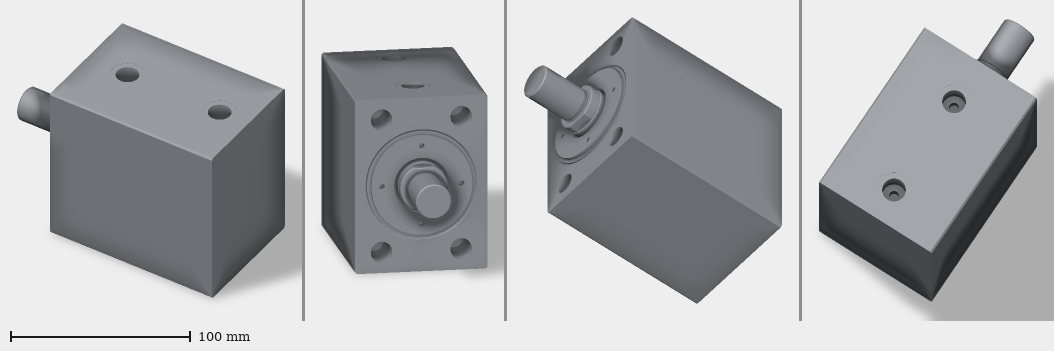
import cadquery as cq
import math

TOTAL_LENGTH = 147.0
ROD_REACH = 40.0
BLOCK_LENGTH = TOTAL_LENGTH - ROD_REACH
BLOCK_WIDTH = 75.0
BLOCK_HEIGHT = 100.0
BLOCK_CHAMFER = 1.0

MOUNT_DIAMETER = 12.0
MOUNT_DEPTH = 26.5
MOUNT_PITCH_Y = 45.0
MOUNT_PITCH_Z = 76.0

PORT_POSITIONS_X = (27.0, 88.0)
SPOTFACE_DIAMETER = 20.0
SPOTFACE_DEPTH = 0.1
PORT_DIAMETER = 13.2
PORT_DEPTH = 12.0
PASSAGE_DIAMETER = 5.6
PASSAGE_DEPTH = 17.6

GLAND_DIAMETER = 61.5
GLAND_DEPTH = 20.0
SEAT_CHAMFER = 0.9
BOSS_DIAMETER = 57.0
BOSS_HEIGHT = 1.9
ROD_MOUTH_DIAMETER = 31.5
CLEARANCE_DIAMETER = 28.8
CLEARANCE_DEPTH = 4.4
SPANNER_HOLE_DIAMETER = 3.1
SPANNER_HOLE_DEPTH = 5.0
SPANNER_HOLE_COUNT = 4
SPANNER_CIRCLE_RADIUS = 22.5

ROD_DIAMETER = 28.0
SHANK_REACH = 4.0
SHANK_CHAMFER = 0.5
COLLAR_DIAMETER = 27.0
COLLAR_REACH = 10.0
COLLAR_CHAMFER = 0.5
FLAT_WIDTH = 24.0
SHOULDER_DIAMETER = 20.3
SHOULDER_REACH = 10.5
STUD_DIAMETER = 20.0
STUD_START = 12.2
STUD_CHAMFER = 0.7
NECK_DIAMETER = STUD_DIAMETER - 2 * STUD_CHAMFER
NECK_TAPER_LENGTH = 0.5

DRILL_POINT_ANGLE = 118.0


def cylinder_x(diameter, start, end):
    """Cylinder on the X axis from X = start to X = end."""
    return cq.Workplane("YZ", origin=(start, 0, 0)).circle(diameter / 2).extrude(end - start)


def drilled_hole(diameter, start, depth):
    """Blind hole along +X from X = start, ending in a conical drill point."""
    radius = diameter / 2
    floor = start + depth
    tip = floor + radius / math.tan(math.radians(DRILL_POINT_ANGLE / 2))
    profile = [(start, 0), (start, radius), (floor, radius), (tip, 0)]
    return cq.Workplane("XY").polyline(profile).close().revolve(360, (0, 0, 0), (1, 0, 0))


def port(x):
    """Spotface, port bore and passage below the top face, centred at X = x."""
    top = cq.Workplane("XY", origin=(x, 0, BLOCK_HEIGHT / 2))
    steps = [
        (SPOTFACE_DIAMETER, SPOTFACE_DEPTH),
        (PORT_DIAMETER, PORT_DEPTH),
        (PASSAGE_DIAMETER, PASSAGE_DEPTH),
    ]
    cutter = cq.Workplane("XY")
    for diameter, depth in steps:
        cutter = cutter.union(top.circle(diameter / 2).extrude(-depth))
    return cutter


def make_housing():
    block = cq.Workplane("XY").box(BLOCK_LENGTH, BLOCK_WIDTH, BLOCK_HEIGHT, centered=(False, True, True))
    block = block.edges("|X").chamfer(BLOCK_CHAMFER)

    seat = cylinder_x(GLAND_DIAMETER, 0, GLAND_DEPTH)
    block = block.cut(seat)
    block = block.faces("<X").edges("%CIRCLE").chamfer(SEAT_CHAMFER)

    mount_hole = drilled_hole(MOUNT_DIAMETER, 0, MOUNT_DEPTH)
    for side_y in (-1, 1):
        for side_z in (-1, 1):
            corner = (0, side_y * MOUNT_PITCH_Y / 2, side_z * MOUNT_PITCH_Z / 2)
            block = block.cut(mount_hole.translate(corner))

    for x in PORT_POSITIONS_X:
        block = block.cut(port(x))
    return block


def make_gland():
    gland = cylinder_x(GLAND_DIAMETER, 0, GLAND_DEPTH).union(cylinder_x(BOSS_DIAMETER, -BOSS_HEIGHT, 0))
    gland = gland.cut(cylinder_x(ROD_DIAMETER, -BOSS_HEIGHT, GLAND_DEPTH))
    gland = gland.cut(cylinder_x(CLEARANCE_DIAMETER, -BOSS_HEIGHT, CLEARANCE_DEPTH - BOSS_HEIGHT))
    mouth_depth = (ROD_MOUTH_DIAMETER - CLEARANCE_DIAMETER) / 2
    gland = gland.faces("<X").edges("%CIRCLE").edges(cq.selectors.RadiusNthSelector(0)).chamfer(mouth_depth)

    spanner_hole = drilled_hole(SPANNER_HOLE_DIAMETER, -BOSS_HEIGHT, SPANNER_HOLE_DEPTH)
    spanner_hole = spanner_hole.translate((0, 0, SPANNER_CIRCLE_RADIUS))
    for i in range(SPANNER_HOLE_COUNT):
        gland = gland.cut(spanner_hole.rotate((0, 0, 0), (1, 0, 0), i * 360 / SPANNER_HOLE_COUNT))
    return gland


def make_rod():
    shank = cylinder_x(ROD_DIAMETER, -SHANK_REACH, GLAND_DEPTH).faces("<X").chamfer(SHANK_CHAMFER)

    collar = cylinder_x(COLLAR_DIAMETER, -COLLAR_REACH, -SHANK_REACH)
    between_flats = cq.Workplane("XY").box(2 * ROD_REACH, BLOCK_WIDTH, FLAT_WIDTH)
    collar = collar.intersect(between_flats).faces("<X").chamfer(COLLAR_CHAMFER)

    shoulder = cylinder_x(SHOULDER_DIAMETER, -SHOULDER_REACH, -COLLAR_REACH)
    return shank.union(collar).union(shoulder).union(make_stud())


def make_stud():
    """Threaded stud with a chamfered tip and a relief neck tapering in behind it."""
    neck_radius = NECK_DIAMETER / 2
    stud_radius = STUD_DIAMETER / 2
    profile = [
        (-ROD_REACH, 0),
        (-ROD_REACH, stud_radius - STUD_CHAMFER),
        (-ROD_REACH + STUD_CHAMFER, stud_radius),
        (-STUD_START, stud_radius),
        (-STUD_START + NECK_TAPER_LENGTH, neck_radius),
        (-SHOULDER_REACH, neck_radius),
        (-SHOULDER_REACH, 0),
    ]
    return cq.Workplane("XY").polyline(profile).close().revolve(360, (0, 0, 0), (1, 0, 0))


housing = make_housing()
gland = make_gland()
rod = make_rod()
result = cq.Compound.makeCompound([housing.val(), gland.val(), rod.val()])